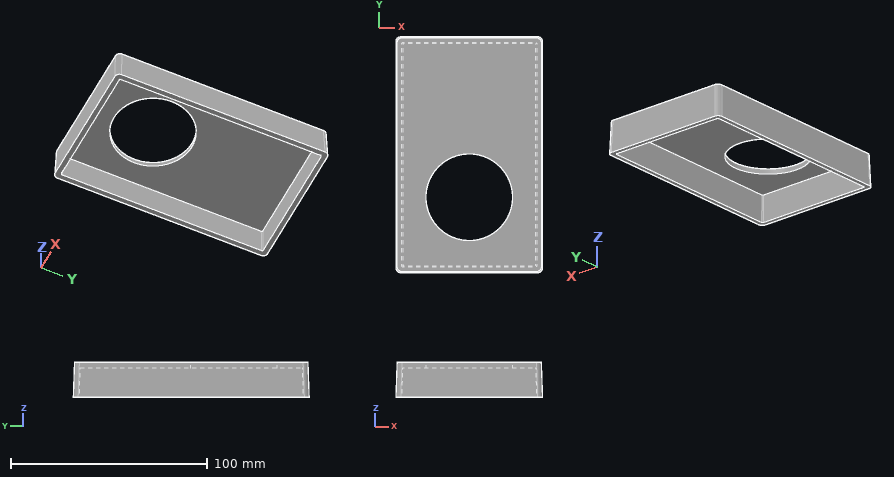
import cadquery as cq

width = 74.8
length = 120.2
height = 18.0
draft_angle = 2.0
corner_radius = 2.5

wall_thickness = 3.0
top_thickness = 3.0
inner_corner_radius = 0.6

window_diameter = 44.0
window_y = -21.6


def drafted_block(size_x, size_y, size_z, radius):
    """Block on Z = 0 whose sides lean inward, with equally rounded upright corners."""
    block = cq.Workplane("XY").rect(size_x, size_y).extrude(size_z, taper=draft_angle)
    return block.edges("not(|X or |Y)").fillet(radius)


outer = drafted_block(width, length, height, corner_radius)
cavity = drafted_block(
    width - 2 * wall_thickness,
    length - 2 * wall_thickness,
    height - top_thickness,
    inner_corner_radius,
)
cover = outer.cut(cavity)

window = (
    cq.Workplane("XY")
    .center(0, window_y)
    .circle(window_diameter / 2)
    .extrude(height)
)
result = cover.cut(window)